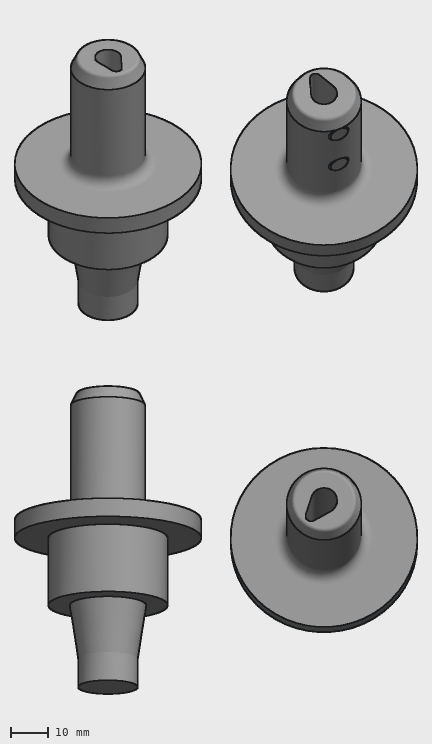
import cadquery as cq
import math

flange_dia = 50.0
hub_dia = 32.0
shaft_dia = 20.0
taper_top_dia = 20.5
spigot_dia = 16.0

spigot_length = 7.75
taper_length = 14.75
hub_length = 18.5
flange_thickness = 5.0
total_height = 81.0

shaft_root_fillet = 3.0
lead_in_length = 3.5
lead_in_angle = 25.0
tip_fillet = 1.0

bore_radius = 3.5
bore_nose_radius = 1.5
bore_nose_offset = 5.5

pin_dia = 6.0
pin_end_chamfer = 0.5
pin_length = 5.0
upper_pin_drop = 6.0
pin_spacing = 14.0

taper_bottom = spigot_length
hub_bottom = taper_bottom + taper_length
flange_bottom = hub_bottom + hub_length
flange_top = flange_bottom + flange_thickness
bore_depth = total_height - flange_top
lead_in_bottom = total_height - lead_in_length

flange_radius = flange_dia / 2
hub_radius = hub_dia / 2
shaft_radius = shaft_dia / 2
taper_top_radius = taper_top_dia / 2
spigot_radius = spigot_dia / 2
tip_radius = shaft_radius - lead_in_length * math.tan(math.radians(lead_in_angle))


def make_body():
    """Revolve the stepped profile, filleted at the shaft root, about Z and round the shaft tip."""
    fillet_drop = shaft_root_fillet * (1 - math.sqrt(0.5))
    fillet_middle = (shaft_radius + fillet_drop, flange_top + fillet_drop)
    profile = (
        cq.Workplane("XZ")
        .lineTo(spigot_radius, 0)
        .lineTo(spigot_radius, taper_bottom)
        .lineTo(taper_top_radius, hub_bottom)
        .lineTo(hub_radius, hub_bottom)
        .lineTo(hub_radius, flange_bottom)
        .lineTo(flange_radius, flange_bottom)
        .lineTo(flange_radius, flange_top)
        .lineTo(shaft_radius + shaft_root_fillet, flange_top)
        .threePointArc(fillet_middle, (shaft_radius, flange_top + shaft_root_fillet))
        .lineTo(shaft_radius, lead_in_bottom)
        .lineTo(tip_radius, total_height)
        .lineTo(0, total_height)
        .close()
    )
    body = profile.revolve(360, (0, 0), (0, 1))
    return body.faces(">Z").edges().fillet(tip_fillet)


def make_pin(center_z):
    """Radial pin with a chamfered flat end facing -X, tangent to the shaft."""
    pin = cq.Workplane("YZ", origin=(-shaft_radius, 0, center_z)).circle(pin_dia / 2).extrude(pin_length)
    return pin.faces("<X").chamfer(pin_end_chamfer)


def make_bore():
    """Teardrop prism cut down from the shaft tip: a round end on the axis and a smaller nose toward +X."""
    normal_x = (bore_radius - bore_nose_radius) / bore_nose_offset
    normal_y = math.sqrt(1 - normal_x**2)
    flank_start_x = bore_radius * normal_x
    flank_start_y = bore_radius * normal_y
    flank_end_x = bore_nose_offset + bore_nose_radius * normal_x
    flank_end_y = bore_nose_radius * normal_y
    nose_tip = (bore_nose_offset + bore_nose_radius, 0)
    return (
        cq.Workplane("XY", origin=(0, 0, total_height))
        .moveTo(flank_start_x, flank_start_y)
        .lineTo(flank_end_x, flank_end_y)
        .threePointArc(nose_tip, (flank_end_x, -flank_end_y))
        .lineTo(flank_start_x, -flank_start_y)
        .threePointArc((-bore_radius, 0), (flank_start_x, flank_start_y))
        .close()
        .extrude(-bore_depth)
    )


result = make_body()
upper_pin_z = total_height - upper_pin_drop
for pin_z in (upper_pin_z, upper_pin_z - pin_spacing):
    result = result.union(make_pin(pin_z))
result = result.cut(make_bore())